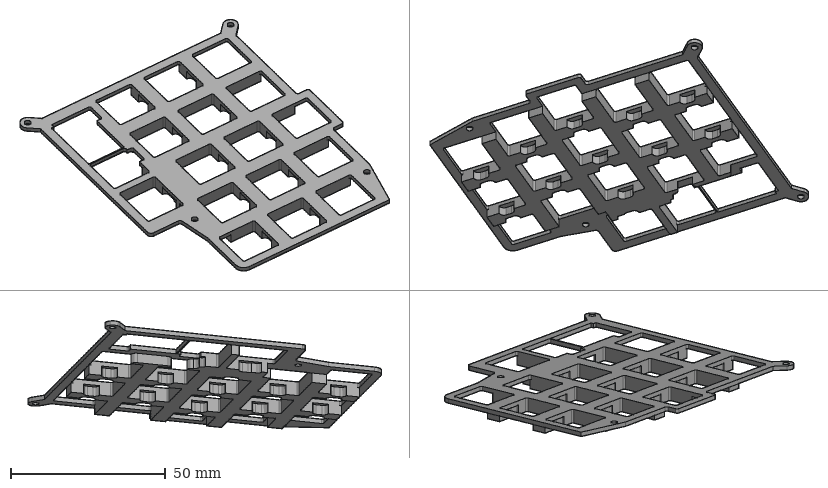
import cadquery as cq
import math

plate_thickness = 1.5
rib_height = 3.2
overall_height = rib_height + plate_thickness

pitch = 19.0
key_size = 14.0
half_key = key_size / 2
key_corner_radius = 0.6
stagger = pitch / 4
column_shifts = [0, 0, stagger, 0, -stagger]
row_count = 3
first_key_x = 14.0
first_key_y = 71.4
middle_column = 2
last_column = len(column_shifts) - 1
last_row = row_count - 1

thumb_y = first_key_y - row_count * pitch
thumb_top = thumb_y + half_key
thumb_bottom = thumb_y - half_key
wide_key_x = first_key_x + pitch / 2
middle_thumb_x = first_key_x + pitch + stagger
middle_thumb_left = middle_thumb_x - half_key
middle_thumb_right = middle_thumb_x + half_key
right_thumb_x = middle_thumb_x + pitch
inner_thumb_x = right_thumb_x - pitch / 8
right_thumb_left = inner_thumb_x - half_key
right_thumb_right = right_thumb_x + half_key
bar_width = 0.4

stabilizer_offset = 11.9
stabilizer_width = 6.8
stabilizer_top = 23.4
stabilizer_left = wide_key_x - stabilizer_offset - stabilizer_width / 2
stabilizer_right = wide_key_x + stabilizer_offset + stabilizer_width / 2
stabilizer_radius = 1.5
corner_step_width = 1.2
corner_step_height = 1.0

half_recess = 5.3 / 2
recess_depth = 1.7
recess_radius = 1.7
thumb_recess_depth = 1.3
thumb_recess_radius = 1.2

overall_width = 100.2
overall_depth = 86.1
frame_left = 3.9
frame_top = 81.6
frame_bottom = 4.2
step_x = 69.2
bump_left = 42.0
bump_right = 61.8
bump_radius = 0.8
upper_slope_x = 82.8
upper_slope_y = 77.1
right_bottom = 18.5
right_corner_radius = 3.3
lower_slope_x = 81.4
lower_slope_y = 16.2
step_inner_radius = 1.0
step_outer_radius = 1.4

screw_diameter = 2.1
tab_radius = 2.5
arm_length = 6.0
upper_tab = (tab_radius, 83.0)
upper_arm_angle = -45
lower_tab = (2.9, tab_radius)
lower_arm_angle = 49
frame_screws = [(85.2, 78.7), (71.5, 20.2)]

overrun = 2.0


def key_center(column, row):
    x = first_key_x + column * pitch
    y = first_key_y + column_shifts[column] - row * pitch
    return x, y


def block(left, right, bottom, top):
    """Full-height box given by its side positions."""
    return cq.Workplane("XY", origin=(left, bottom, 0)).box(
        right - left, top - bottom, overall_height, centered=False
    )


def key_hole(left, right, bottom, top):
    """Full-height cutter with rounded corners."""
    return block(left, right, bottom, top).edges("|Z").fillet(key_corner_radius)


def arc_middle(center_x, center_y, radius, x_side, y_side):
    """Middle point of the quarter arc that lies on the given sides of its centre."""
    reach = radius * math.sqrt(0.5)
    return center_x + x_side * reach, center_y + y_side * reach


def tab_arm(center, angle):
    """Round-ended arm from a screw tab into the frame."""
    arm = (
        cq.Workplane("XY")
        .rect(arm_length, 2 * tab_radius)
        .extrude(plate_thickness)
        .translate((arm_length / 2, 0, 0))
        .union(cq.Workplane("XY").circle(tab_radius).extrude(plate_thickness))
    )
    return arm.rotate((0, 0, 0), (0, 0, 1), angle).translate((*center, rib_height))


def round_corner(solid, x, y, radius):
    """Fillet the vertical plate edge at (x, y)."""
    nearest = cq.selectors.NearestToPointSelector((x, y, rib_height + plate_thickness / 2))
    return solid.edges("|Z").edges(nearest).fillet(radius)


def frame():
    """Solid plate with its screw tabs."""
    outline = [
        (frame_left, frame_bottom),
        (step_x, frame_bottom),
        (step_x, lower_slope_y),
        (lower_slope_x, right_bottom),
        (overall_width, right_bottom),
        (overall_width, upper_slope_y),
        (upper_slope_x, frame_top),
        (bump_right, frame_top),
        (bump_right, overall_depth),
        (bump_left, overall_depth),
        (bump_left, frame_top),
        (frame_left, frame_top),
    ]
    plate = cq.Workplane("XY", origin=(0, 0, rib_height)).polyline(outline).close()
    plate = plate.extrude(plate_thickness)
    for x in (bump_left, bump_right):
        for y in (frame_top, overall_depth):
            plate = round_corner(plate, x, y, bump_radius)
    plate = round_corner(plate, step_x, frame_bottom, step_outer_radius)
    plate = round_corner(plate, step_x, lower_slope_y, step_inner_radius)
    plate = round_corner(plate, overall_width, right_bottom, right_corner_radius)
    plate = plate.union(tab_arm(upper_tab, upper_arm_angle))
    return plate.union(tab_arm(lower_tab, lower_arm_angle))


def key_holes(extension):
    """All key cutters; on the outside of the web they run further by `extension`."""
    cutters = cq.Workplane("XY")
    for column in range(len(column_shifts)):
        for row in range(row_count):
            x, y = key_center(column, row)
            open_below = row == last_row and column > middle_column
            left = x - half_key - (extension if column == 0 else 0)
            right = x + half_key + (extension if column == last_column else 0)
            bottom = y - half_key - (extension if open_below else 0)
            top = y + half_key + (extension if row == 0 else 0)
            cutters = cutters.add(key_hole(left, right, bottom, top))
    return cutters.combine()


def single_thumb_holes(extension):
    """Middle and right thumb cutters, running down further by `extension`."""
    bottom = thumb_bottom - extension
    middle = key_hole(middle_thumb_left, middle_thumb_right, bottom, thumb_top)
    return middle.union(key_hole(right_thumb_left, right_thumb_right, bottom, thumb_top))


def stabilizer_notch(side):
    """Notch above the thumb row, left (-1) or right (1) of the wide key."""
    x = wide_key_x + side * stabilizer_offset
    half_width = stabilizer_width / 2
    return key_hole(x - half_width, x + half_width, thumb_y, stabilizer_top)


def wide_thumb_hole():
    """Wide thumb opening with a small step in its lower left corner."""
    bar_left = middle_thumb_left - bar_width
    step_right = stabilizer_left + corner_step_width
    step_top = thumb_bottom + corner_step_height
    upper = block(stabilizer_left, bar_left, step_top, thumb_top)
    return upper.union(block(step_right, bar_left, thumb_bottom, thumb_top))


def clip_recess(x, wall_y, side, depth, radius):
    """Recess cutter beyond a key wall; side is 1 above the key and -1 below."""
    back_y = wall_y + side * depth
    bend_y = back_y - side * radius
    inside_y = wall_y - side * half_key / 2
    half_flat = half_recess - radius
    return (
        cq.Workplane("XY")
        .moveTo(x - half_recess, inside_y)
        .lineTo(x - half_recess, bend_y)
        .threePointArc(arc_middle(x - half_flat, bend_y, radius, -1, side), (x - half_flat, back_y))
        .lineTo(x + half_flat, back_y)
        .threePointArc(arc_middle(x + half_flat, bend_y, radius, 1, side), (x + half_recess, bend_y))
        .lineTo(x + half_recess, inside_y)
        .close()
        .extrude(rib_height)
    )


def web_blank():
    """Web before the keys are cut; much of its border runs inside key holes."""
    web_left = first_key_x - half_key
    web_top = first_key_y + half_key
    last_x, last_top_y = key_center(last_column, 0)
    last_rib_left = last_x - pitch + half_key
    lowered_top = last_top_y + half_key
    last_row_y = key_center(0, last_row)[1]
    row_bottom = last_row_y - half_key
    inner_thumb_right = inner_thumb_x + half_key
    radius = recess_radius
    shelf_y = row_bottom - radius
    shelf_left = first_key_x + half_recess
    shelf_right = first_key_x + pitch - half_recess
    beam_left = first_key_x + pitch + half_recess
    stabilizer_bend_x = stabilizer_right - stabilizer_radius
    stabilizer_bend_y = shelf_y - stabilizer_radius
    return (
        cq.Workplane("XY")
        .moveTo(web_left, web_top)
        .lineTo(last_rib_left, web_top)
        .lineTo(last_rib_left, lowered_top)
        .lineTo(last_x + half_key, lowered_top)
        .lineTo(last_x + half_key, last_row_y)
        .lineTo(last_x, last_row_y)
        .lineTo(last_x, row_bottom)
        .lineTo(inner_thumb_right, row_bottom)
        .lineTo(inner_thumb_right, thumb_y)
        .lineTo(inner_thumb_x, thumb_y)
        .lineTo(inner_thumb_x, thumb_bottom)
        .lineTo(middle_thumb_x, thumb_bottom)
        .lineTo(middle_thumb_x, thumb_y)
        .lineTo(stabilizer_right, thumb_y)
        .lineTo(stabilizer_right, stabilizer_bend_y)
        .threePointArc(
            arc_middle(stabilizer_bend_x, stabilizer_bend_y, stabilizer_radius, 1, 1),
            (stabilizer_bend_x, shelf_y),
        )
        .lineTo(beam_left + radius, shelf_y)
        .threePointArc(arc_middle(beam_left + radius, row_bottom, radius, -1, -1), (beam_left, row_bottom))
        .lineTo(beam_left, last_row_y)
        .lineTo(shelf_right, last_row_y)
        .lineTo(shelf_right, row_bottom)
        .threePointArc(
            arc_middle(shelf_right - radius, row_bottom, radius, 1, -1),
            (shelf_right - radius, shelf_y),
        )
        .lineTo(shelf_left + radius, shelf_y)
        .threePointArc(arc_middle(shelf_left + radius, row_bottom, radius, -1, -1), (shelf_left, row_bottom))
        .lineTo(shelf_left, last_row_y)
        .lineTo(web_left, last_row_y)
        .close()
        .extrude(rib_height)
    )


def rib_web():
    """Ribs below the plate, filling only the gaps between the keys."""
    web = web_blank().cut(key_holes(overrun)).cut(single_thumb_holes(overrun))
    for column in range(len(column_shifts)):
        for row in range(row_count):
            x, y = key_center(column, row)
            if row > 0:
                web = web.cut(clip_recess(x, y + half_key, 1, recess_depth, recess_radius))
            if row < last_row or column == middle_column:
                web = web.cut(clip_recess(x, y - half_key, -1, recess_depth, recess_radius))
    web = web.cut(clip_recess(inner_thumb_x, thumb_top, 1, recess_depth, recess_radius))
    for x in (middle_thumb_x, right_thumb_x):
        web = web.cut(clip_recess(x, thumb_top, 1, thumb_recess_depth, thumb_recess_radius))
    return web


plate = frame().cut(key_holes(0)).cut(single_thumb_holes(0)).cut(wide_thumb_hole())
for side in (-1, 1):
    plate = plate.cut(stabilizer_notch(side))
screw_holes = (
    cq.Workplane("XY")
    .pushPoints([upper_tab, lower_tab, *frame_screws])
    .circle(screw_diameter / 2)
    .extrude(overall_height)
)
result = plate.union(rib_web()).cut(screw_holes)